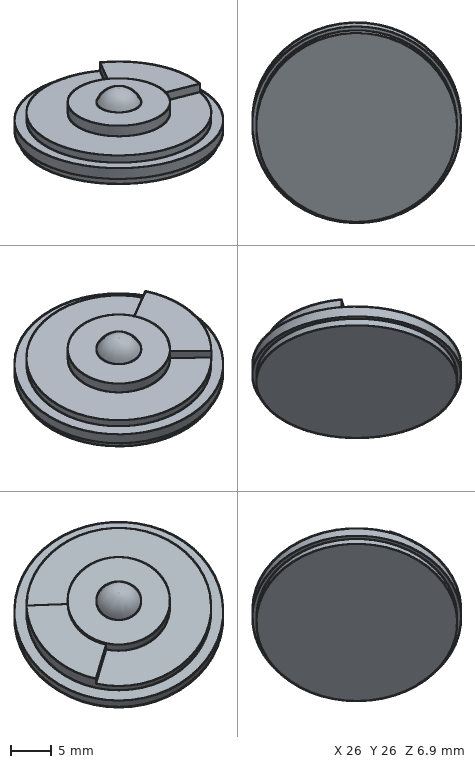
import cadquery as cq
import math

base_diameter = 24.99
base_height = 1.0
flange_diameter = 26.0
flange_height = 1.5
step_diameter = 23.0
step_height = 1.01
pad_diameter = 12.75
pad_height = 1.48

sector_height = 1.17
sector_angle = 73.2

total_height = 6.9
pin_diameter = 6.0
tip_flat_diameter = 0.001

flange_bottom = base_height
step_bottom = flange_bottom + flange_height
step_top = step_bottom + step_height


def disc(diameter, bottom, height):
    return cq.Workplane("XY").workplane(offset=bottom).circle(diameter / 2).extrude(height)


def raised_sector():
    radius = step_diameter / 2
    half_angle = math.radians(sector_angle / 2)
    corner_x = radius * math.sin(half_angle)
    corner_y = radius * math.cos(half_angle)
    return (
        cq.Workplane("XY")
        .workplane(offset=step_top)
        .lineTo(corner_x, corner_y)
        .threePointArc((0, radius), (-corner_x, corner_y))
        .close()
        .extrude(sector_height)
    )


def domed_pin():
    tip_round = (pin_diameter - tip_flat_diameter) / 2
    pin = disc(pin_diameter, step_bottom, total_height - step_bottom)
    return pin.faces(">Z").edges().fillet(tip_round)


result = (
    disc(base_diameter, 0, base_height)
    .union(disc(flange_diameter, flange_bottom, flange_height))
    .union(disc(step_diameter, step_bottom, step_height))
    .union(raised_sector())
    .union(disc(pad_diameter, step_top, pad_height))
    .union(domed_pin())
)